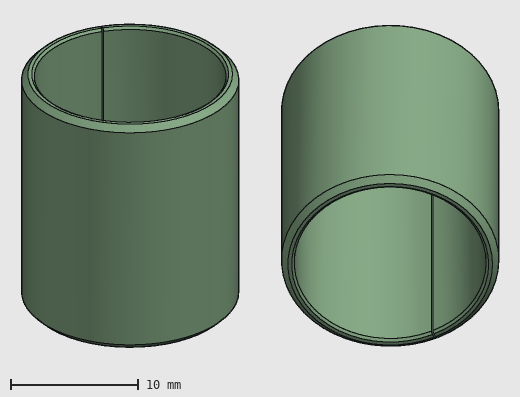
import cadquery as cq

outer_diameter = 17.0
bore_diameter = 15.0
length = 20.0

outer_chamfer = 0.5
bore_chamfer = 0.2

joint_angle = 1.0


def make_split_bush():
    """Revolve the chamfered -X wall section about Z, stopping short of a full turn."""
    outer_radius = outer_diameter / 2
    bore_radius = bore_diameter / 2
    section = [
        (-bore_radius, bore_chamfer),
        (-bore_radius - bore_chamfer, 0),
        (-outer_radius + outer_chamfer, 0),
        (-outer_radius, outer_chamfer),
        (-outer_radius, length - outer_chamfer),
        (-outer_radius + outer_chamfer, length),
        (-bore_radius - bore_chamfer, length),
        (-bore_radius, length - bore_chamfer),
    ]
    profile = cq.Workplane("XZ").polyline(section).close()
    return profile.revolve(360 - joint_angle, (0, 0), (0, 1))


result = make_split_bush()